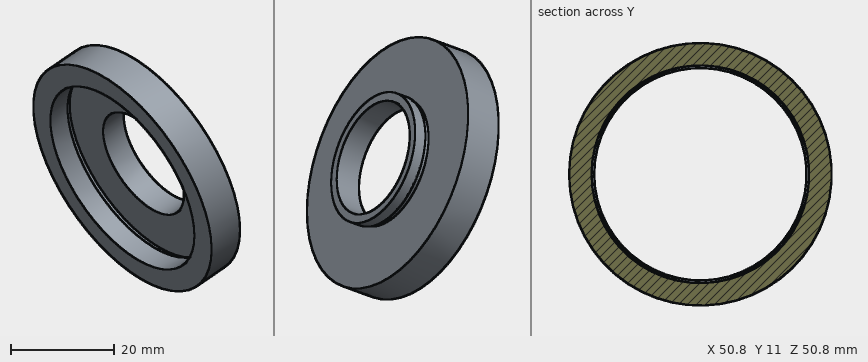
import cadquery as cq

flange_diameter = 50.8
flange_thickness = 7.5
neck_diameter = 25.85
neck_length = 1.0
lip_diameter = 26.45
lip_length = 2.5
bore_diameter = 22.95
recess_diameter = 41.0
recess_depth = 5.55
undercut_diameter = 42.0
undercut_width = 1.0

total_length = flange_thickness + neck_length + lip_length


def disc(diameter, start, length):
    """Cylinder on the Y axis, running from y = start toward +Y."""
    plane = cq.Workplane("XZ", origin=(0, start, 0))
    return plane.circle(diameter / 2).extrude(-length)


flange = disc(flange_diameter, 0, flange_thickness)
neck = disc(neck_diameter, flange_thickness, neck_length)
lip = disc(lip_diameter, flange_thickness + neck_length, lip_length)
body = flange.union(neck).union(lip)

recess = disc(recess_diameter, 0, recess_depth)
undercut = disc(undercut_diameter, recess_depth - undercut_width, undercut_width)
bore = disc(bore_diameter, 0, total_length)

result = body.cut(recess).cut(undercut).cut(bore)